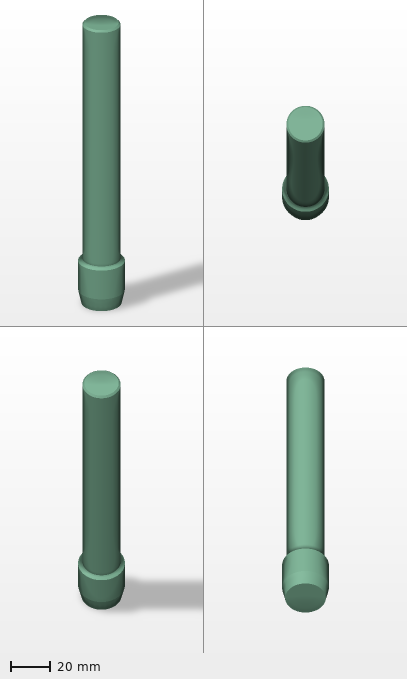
import cadquery as cq

total_height = 160.0

rod_diameter = 19.5
rod_chamfer = 1.0

sleeve_diameter = 24.0
sleeve_height = 25.3
sleeve_shoulder_height = 1.3
sleeve_tip_diameter = 20.8
sleeve_taper_height = 7.5


def make_rod():
    """Plain round rod with a chamfered top edge."""
    return (
        cq.Workplane("XY")
        .circle(rod_diameter / 2)
        .extrude(total_height)
        .faces(">Z")
        .chamfer(rod_chamfer)
    )


def make_sleeve():
    """Revolved sleeve with a tapered lower end and a conical shoulder that meets the rod."""
    bore_radius = rod_diameter / 2
    outer_radius = sleeve_diameter / 2
    return (
        cq.Workplane("XZ")
        .moveTo(bore_radius, 0)
        .lineTo(sleeve_tip_diameter / 2, 0)
        .lineTo(outer_radius, sleeve_taper_height)
        .lineTo(outer_radius, sleeve_height - sleeve_shoulder_height)
        .lineTo(bore_radius, sleeve_height)
        .close()
        .revolve(360, (0, 0, 0), (0, 1, 0))
    )


rod = make_rod()
sleeve = make_sleeve()

result = cq.Compound.makeCompound([rod.val(), sleeve.val()])